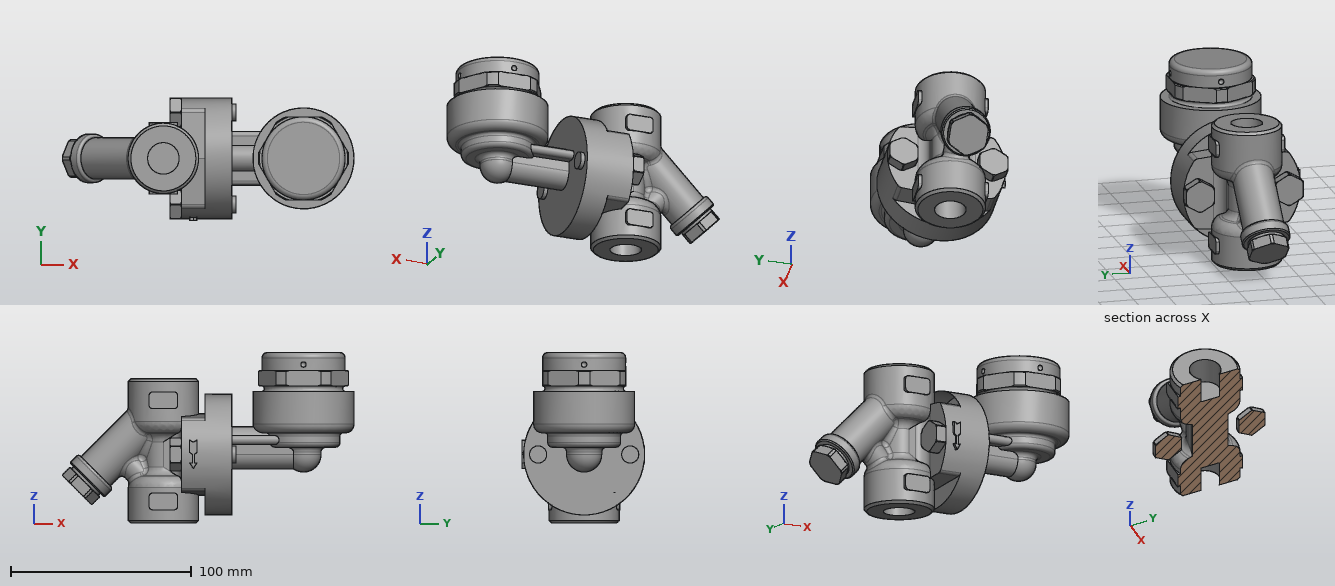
import cadquery as cq
import math


SELECT_TOLERANCE = 0.02

PIPE_DIA = 39.0
PIPE_TOP = 42.0
PIPE_BOTTOM = -38.0
PIPE_CHAMFER = 1.5
BORE_DIA = 17.48
BORE_DEPTH = 16.0
WAIST_DIA = 21.0
SHOULDER_OUTER_Z = 13.7
SHOULDER_INNER_Z = 10.4
SHOULDER_ROUND = 6.7
WAIST_FILLET = 5.0

PAD_WIDTH = 15.8
PAD_HEIGHT = 9.3
PAD_CORNER = 2.0
PAD_FACE_Y = 19.8
PAD_FROM_END = 12.0

BRANCH_ANGLE = 45.0
BRANCH_START_Z = 28.2
BRANCH_DIA = 23.0
BRANCH_FILLET = 3.0
COLLAR_DIA = 27.0
COLLAR_START = 53.0
COLLAR_END = 59.8
COLLAR_ROUND = 1.6
COLLAR_CHAMFER = 0.7
PLUG_FLATS = 21.0
PLUG_CORNER_DIA = 23.3
PLUG_START = 61.5
PLUG_END = 67.7
PLUG_CHAMFER = 0.3

DUCT_DIA = 14.0
DUCT_X = -15.1
DUCT_Z = -9.1
DUCT_REACH = 9.0
DUCT_FILLET = 2.5

FLANGE_DIA = 67.0
BODY_FLANGE_X = 10.0
JOINT_X = 23.0
PLATE_END_X = 38.0
ROOF_RIDGE_Z = 22.6
ROOF_SLOPE = 5.3
ROOF_EDGE_ROUND = 3.0
WEB_HALF_HEIGHT = 16.5
WEB_FLARE = 5.8

BOLT_OFFSET_Y = 25.5
BOLT_DIA = 9.5
BOLT_END_X = 40.3
BOLT_FLATS = 16.0
BOLT_CORNER_DIA = 18.2
BOLT_HEAD_HEIGHT = 6.4
BOLT_CHAMFER = 0.5

ARROW_FACE_Y = -34.5
ARROW_X = 16.6
ARROW_WIDTH = 4.0
ARROW_SHAFT_WIDTH = 1.2
ARROW_TAIL_Z = 8.0
ARROW_NOTCH_DEPTH = 1.2
ARROW_SHAFT_TOP_Z = 0.0
ARROW_HEAD_Z = -4.6
ARROW_TIP_Z = -7.8
ARROW_ROOT_DEPTH = 3.0

LOWER_DUCT_DIA = 16.2
UPPER_DUCT_DIA = 15.0
UPPER_DUCT_Z = 8.0
WING_WIDTH = 30.0
WING_HEIGHT = 5.0

TRAP_X = 77.6
BALL_DIA = 19.5
STEM_TOP_Z = 1.3
STEP_BOTTOM_Z = 4.0
STEP_DIA = 40.4
STEP_FLAT_DIA = 35.0
TRAP_DIA = 56.0
TRAP_BOTTOM_Z = 12.0
TRAP_TOP_Z = 34.9
TRAP_ROUND = 4.8
STEP_FILLET = 1.7
CAP_DIA = 46.1
NECK_DIA = 43.6
HEX_BOTTOM_Z = 38.0
HEX_TOP_Z = 46.5
HEX_FLATS = 46.1
HEX_CORNER_DIA = 50.0
HEX_CHAMFER = 0.6
CAP_TOP_Z = 56.5
CAP_ROUND = 3.0
VENT_DIA = 3.0
VENT_Z = 49.8
VENT_COUNT = 4


def cylinder_x(dia, x_start, x_end, y=0.0, z=0.0):
    """Cylinder parallel to X."""
    return cq.Workplane("YZ", origin=(x_start, y, z)).circle(dia / 2).extrude(x_end - x_start)


def hex_block(plane, flats, corner_dia, height, chamfer):
    """Hexagon prism with corners turned down to corner_dia and both end rims chamfered.

    Two of its corners lie on the X direction of the plane.
    """
    across_corners = flats / math.cos(math.pi / 6)
    prism = cq.Workplane(plane).polygon(6, across_corners).extrude(height)
    turned = cq.Workplane(plane).circle(corner_dia / 2).extrude(height).edges("%CIRCLE").chamfer(chamfer)
    return prism.intersect(turned)


def lies_on_cylinder(edge, axis_plane, radius):
    """True if the whole edge runs on the cylinder around the plane's normal."""
    for fraction in (0.1, 0.3, 0.5, 0.7, 0.9):
        offset = edge.positionAt(fraction) - axis_plane.origin
        if abs(offset.cross(axis_plane.zDir).Length - radius) > SELECT_TOLERANCE:
            return False
    return True


def fillet_joint(body, axis_plane, radius, size):
    """Fillet the freeform edges where a cylinder of that radius meets the body."""
    joint = body.edges("%BSPLINE").filter(lambda edge: lies_on_cylinder(edge, axis_plane, radius))
    return joint.fillet(size)


def make_pipe():
    """Solid pipe whose waist opens over conical shoulders into the two socket ends."""
    r_pipe = PIPE_DIA / 2
    r_waist = WAIST_DIA / 2
    r_end = r_pipe - PIPE_CHAMFER
    pipe = (
        cq.Workplane("XZ")
        .moveTo(0, PIPE_BOTTOM)
        .lineTo(r_end, PIPE_BOTTOM)
        .lineTo(r_pipe, PIPE_BOTTOM + PIPE_CHAMFER)
        .lineTo(r_pipe, -SHOULDER_OUTER_Z)
        .lineTo(r_waist, -SHOULDER_INNER_Z)
        .lineTo(r_waist, SHOULDER_INNER_Z)
        .lineTo(r_pipe, SHOULDER_OUTER_Z)
        .lineTo(r_pipe, PIPE_TOP - PIPE_CHAMFER)
        .lineTo(r_end, PIPE_TOP)
        .lineTo(0, PIPE_TOP)
        .close()
        .revolve(360, (0, 0, 0), (0, 1, 0))
    )
    for z, size in ((SHOULDER_OUTER_Z, SHOULDER_ROUND), (SHOULDER_INNER_Z, WAIST_FILLET)):
        rims = pipe.edges("%CIRCLE").filter(lambda edge: abs(abs(edge.Center().z) - z) < SELECT_TOLERANCE)
        pipe = rims.fillet(size)
    return pipe


def make_web():
    """Web from the waist to the flange, flaring onto the flange face; its ends are buried in the shoulders."""
    flare_x = BODY_FLANGE_X - WEB_FLARE
    narrow_y = WAIST_DIA / 2
    wide_y = narrow_y + WEB_FLARE
    return (
        cq.Workplane("XY", origin=(0, 0, -WEB_HALF_HEIGHT))
        .moveTo(0, -narrow_y)
        .lineTo(0, narrow_y)
        .lineTo(flare_x, narrow_y)
        .radiusArc((BODY_FLANGE_X, wide_y), -WEB_FLARE)
        .lineTo(JOINT_X, wide_y)
        .lineTo(JOINT_X, -wide_y)
        .lineTo(BODY_FLANGE_X, -wide_y)
        .radiusArc((flare_x, -narrow_y), -WEB_FLARE)
        .close()
        .extrude(2 * WEB_HALF_HEIGHT)
    )


def make_body_flange():
    """Round flange cut down above and below to shallow gable roofs."""
    radius = FLANGE_DIA / 2
    eave_z = ROOF_RIDGE_Z - radius * math.tan(math.radians(ROOF_SLOPE))
    disc = cylinder_x(FLANGE_DIA, BODY_FLANGE_X, JOINT_X)
    gable = (
        cq.Workplane("YZ", origin=(BODY_FLANGE_X, 0, 0))
        .moveTo(-radius, -eave_z)
        .lineTo(0, -ROOF_RIDGE_Z)
        .lineTo(radius, -eave_z)
        .lineTo(radius, eave_z)
        .lineTo(0, ROOF_RIDGE_Z)
        .lineTo(-radius, eave_z)
        .close()
        .extrude(JOINT_X - BODY_FLANGE_X)
    )
    block = disc.intersect(gable)
    roof_edges = block.edges("|X").filter(lambda edge: abs(edge.Center().y) > radius / 2)
    return roof_edges.fillet(ROOF_EDGE_ROUND)


def make_casting():
    """Pipe, web and body flange joined."""
    return make_pipe().union(make_web()).union(make_body_flange())


def branch_plane(distance):
    """Plane square to the branch axis at a distance from the pipe axis."""
    angle = math.radians(BRANCH_ANGLE)
    normal = cq.Vector(-math.sin(angle), 0, -math.cos(angle))
    origin = cq.Vector(0, 0, BRANCH_START_Z) + normal * distance
    return cq.Plane(origin=origin, xDir=normal.cross(cq.Vector(0, 1, 0)), normal=normal)


def add_branch(body):
    """Strainer barrel and the duct below it, both blended into the casting."""
    axis = branch_plane(0)
    barrel = cq.Workplane(axis).circle(BRANCH_DIA / 2).extrude(COLLAR_START + COLLAR_ROUND)
    body = fillet_joint(body.union(barrel), axis, BRANCH_DIA / 2, BRANCH_FILLET)

    duct_plane = cq.Plane(origin=(DUCT_X, 0, DUCT_Z), xDir=(0, 1, 0), normal=axis.xDir)
    duct = cq.Workplane(duct_plane).circle(DUCT_DIA / 2).extrude(DUCT_REACH, both=True)
    return fillet_joint(body.union(duct), duct_plane, DUCT_DIA / 2, DUCT_FILLET)


def make_strainer_cap():
    """Collar and hexagon plug at the outer end of the branch."""
    collar = (
        cq.Workplane(branch_plane(COLLAR_START))
        .circle(COLLAR_DIA / 2)
        .extrude(COLLAR_END - COLLAR_START)
    )
    rims = collar.edges("%CIRCLE")
    collar = rims.filter(lambda edge: edge.Center().z > branch_plane(COLLAR_END).origin.z + 1).fillet(COLLAR_ROUND)
    collar = collar.faces(cq.selectors.DirectionMinMaxSelector(branch_plane(0).zDir)).chamfer(COLLAR_CHAMFER)
    gasket = cq.Workplane(branch_plane(COLLAR_END - 1)).circle(PLUG_FLATS / 2).extrude(PLUG_START - COLLAR_END + 2)
    plug = hex_block(
        branch_plane(PLUG_START), PLUG_FLATS, PLUG_CORNER_DIA, PLUG_END - PLUG_START, PLUG_CHAMFER)
    return collar.union(gasket).union(plug)


def make_pads():
    """Rounded label pads on both sides of both socket ends."""
    pads = cq.Workplane("XY")
    for z in (PIPE_TOP - PAD_FROM_END, PIPE_BOTTOM + PAD_FROM_END):
        bar = cq.Workplane("XY", origin=(0, 0, z)).box(PAD_WIDTH, 2 * PAD_FACE_Y, PAD_HEIGHT)
        pads = pads.add(bar.edges("|Y").fillet(PAD_CORNER))
    return pads.combine()


def make_bolt(y):
    """Bolt through both flanges, head on the pipe side."""
    head = hex_block(
        cq.Plane(origin=(BODY_FLANGE_X, y, 0), xDir=(0, 0, 1), normal=(-1, 0, 0)),
        BOLT_FLATS, BOLT_CORNER_DIA, BOLT_HEAD_HEIGHT, BOLT_CHAMFER)
    return head.union(cylinder_x(BOLT_DIA, BODY_FLANGE_X, BOLT_END_X, y))


def make_arrow():
    """Raised flow arrow with a notched tail, pointing down."""
    half = ARROW_WIDTH / 2
    shaft = ARROW_SHAFT_WIDTH / 2
    return (
        cq.Workplane("XZ", origin=(ARROW_X, ARROW_FACE_Y, 0))
        .moveTo(0, ARROW_TAIL_Z - ARROW_NOTCH_DEPTH)
        .lineTo(half, ARROW_TAIL_Z)
        .lineTo(half, ARROW_SHAFT_TOP_Z + ARROW_NOTCH_DEPTH)
        .lineTo(shaft, ARROW_SHAFT_TOP_Z)
        .lineTo(shaft, ARROW_HEAD_Z)
        .lineTo(half, ARROW_HEAD_Z)
        .lineTo(0, ARROW_TIP_Z)
        .lineTo(-half, ARROW_HEAD_Z)
        .lineTo(-shaft, ARROW_HEAD_Z)
        .lineTo(-shaft, ARROW_SHAFT_TOP_Z)
        .lineTo(-half, ARROW_SHAFT_TOP_Z + ARROW_NOTCH_DEPTH)
        .lineTo(-half, ARROW_TAIL_Z)
        .close()
        .extrude(-ARROW_ROOT_DEPTH)
    )


def make_trap_ducts():
    """Round inlet duct with a winged outlet duct above it, from the plate to the trap."""
    lower = cylinder_x(LOWER_DUCT_DIA, PLATE_END_X, TRAP_X)
    length = TRAP_X - PLATE_END_X
    link = cq.Workplane("XY").box(length, LOWER_DUCT_DIA, UPPER_DUCT_Z, centered=(False, True, False))
    link = link.translate((PLATE_END_X, 0, 0))
    upper = cylinder_x(UPPER_DUCT_DIA, PLATE_END_X, TRAP_X, z=UPPER_DUCT_Z)
    wings = (
        cq.Workplane("YZ", origin=(PLATE_END_X, 0, UPPER_DUCT_Z))
        .slot2D(WING_WIDTH, WING_HEIGHT)
        .extrude(length)
    )
    return lower.union(link).union(upper).union(wings)


def make_trap_body():
    """Turned trap: ball foot, stepped base, drum and the neck under the hexagon."""
    r_ball = BALL_DIA / 2
    r_flat = STEP_FLAT_DIA / 2
    r_step = STEP_DIA / 2
    r_drum = TRAP_DIA / 2
    r_cap = CAP_DIA / 2
    foot_fillet = STEP_BOTTOM_Z - STEM_TOP_Z
    step_round = r_step - r_flat
    neck_mid_z = (TRAP_TOP_Z + HEX_BOTTOM_Z) / 2
    return (
        cq.Workplane("XZ", origin=(TRAP_X, 0, 0))
        .moveTo(0, -r_ball)
        .radiusArc((r_ball, 0), -r_ball)
        .lineTo(r_ball, STEM_TOP_Z)
        .radiusArc((r_ball + foot_fillet, STEP_BOTTOM_Z), foot_fillet)
        .lineTo(r_flat, STEP_BOTTOM_Z)
        .radiusArc((r_step, STEP_BOTTOM_Z + step_round), -step_round)
        .lineTo(r_step, TRAP_BOTTOM_Z - STEP_FILLET)
        .radiusArc((r_step + STEP_FILLET, TRAP_BOTTOM_Z), STEP_FILLET)
        .lineTo(r_drum - TRAP_ROUND, TRAP_BOTTOM_Z)
        .radiusArc((r_drum, TRAP_BOTTOM_Z + TRAP_ROUND), -TRAP_ROUND)
        .lineTo(r_drum, TRAP_TOP_Z)
        .lineTo(r_cap, TRAP_TOP_Z)
        .threePointArc((NECK_DIA / 2, neck_mid_z), (r_cap, HEX_BOTTOM_Z))
        .lineTo(0, HEX_BOTTOM_Z)
        .close()
        .revolve(360, (0, 0, 0), (0, 1, 0))
    )


def make_trap_cap():
    """Hexagon and round cap with round vent dimples around it."""
    hexagon = hex_block(
        cq.Plane(origin=(TRAP_X, 0, HEX_BOTTOM_Z)),
        HEX_FLATS, HEX_CORNER_DIA, HEX_TOP_Z - HEX_BOTTOM_Z, HEX_CHAMFER)
    cap = (
        cq.Workplane("XY", origin=(TRAP_X, 0, HEX_TOP_Z - 1))
        .circle(CAP_DIA / 2)
        .extrude(CAP_TOP_Z - HEX_TOP_Z + 1)
        .faces(">Z").edges().fillet(CAP_ROUND)
    )
    cap = hexagon.union(cap)
    dimple = cq.Workplane("XY", origin=(TRAP_X + CAP_DIA / 2, 0, VENT_Z)).sphere(VENT_DIA / 2)
    for i in range(VENT_COUNT):
        cap = cap.cut(dimple.rotate((TRAP_X, 0, 0), (TRAP_X, 0, 1), i * 360 / VENT_COUNT))
    return cap


def drill_sockets(body):
    """Blind bores in both ends of the pipe."""
    for z in (PIPE_TOP - BORE_DEPTH, PIPE_BOTTOM):
        body = body.cut(cq.Workplane("XY", origin=(0, 0, z)).circle(BORE_DIA / 2).extrude(BORE_DEPTH))
    return body


casting = add_branch(make_casting()).union(make_strainer_cap()).union(make_pads())
casting = drill_sockets(casting)
plate = cylinder_x(FLANGE_DIA, JOINT_X, PLATE_END_X)
trap = make_trap_body().union(make_trap_cap()).union(make_trap_ducts())

result = casting.union(plate).union(trap).union(make_arrow())
for side in (-1, 1):
    result = result.union(make_bolt(side * BOLT_OFFSET_Y))